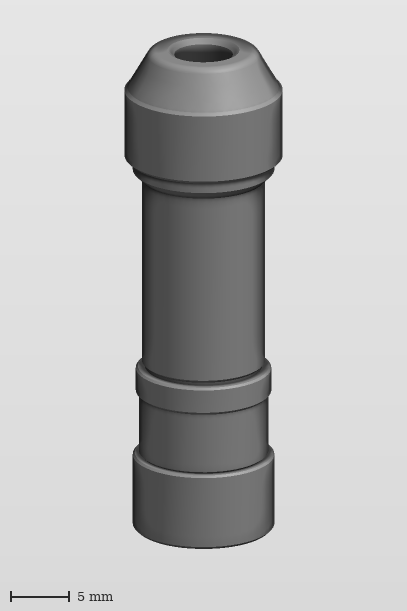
import cadquery as cq
import math

total_height = 43.0
cone_foot_z = 39.7
head_bottom_z = 33.3
ring_bottom_z = 32.25
shank_bottom_z = 14.75
collar_top_z = 14.5
collar_bottom_z = 12.05
base_height = 6.65

head_diameter = 13.45
head_radius = head_diameter / 2
ring_radius = 6.0
shank_radius = 5.25
relief_radius = 5.0
collar_radius = 5.75
neck_radius = 5.5
base_radius = 6.0

nose_flat_radius = 4.1
nose_slope_angle = 60
nose_slope = math.radians(nose_slope_angle)
nose_round_radius = 0.8

bore_radius = 2.5
mouth_radius = 3.05
mouth_depth = 0.4

edge_chamfer = 0.25
small_chamfer = 0.17

round_center_z = total_height - nose_round_radius


def nose_round_point(angle):
    """Point on the nose rounding, at an angle measured from straight up."""
    return (
        nose_flat_radius + nose_round_radius * math.sin(angle),
        round_center_z + nose_round_radius * math.cos(angle),
    )


cone_start_radius, cone_start_z = nose_round_point(nose_slope)
cone_foot_radius = cone_start_radius + (cone_start_z - cone_foot_z) / math.tan(nose_slope)
head_edge_z = cone_foot_z - (head_radius - cone_foot_radius)
shank_top_z = ring_bottom_z - (ring_radius - shank_radius)


def make_stem():
    """Revolved stem: nose and head, ring, shank, relief groove, collar and neck, bored through."""
    profile = (
        cq.Workplane("XZ")
        .moveTo(bore_radius, base_height)
        .lineTo(bore_radius, total_height - mouth_depth)
        .lineTo(mouth_radius, total_height)
        .lineTo(nose_flat_radius, total_height)
        .threePointArc(nose_round_point(nose_slope / 2), nose_round_point(nose_slope))
        .lineTo(cone_foot_radius, cone_foot_z)
        .lineTo(head_radius, head_edge_z)
        .lineTo(head_radius, head_bottom_z + edge_chamfer)
        .lineTo(head_radius - edge_chamfer, head_bottom_z)
        .lineTo(ring_radius, head_bottom_z)
        .lineTo(ring_radius, ring_bottom_z)
        .lineTo(shank_radius, shank_top_z)
        .lineTo(shank_radius, shank_bottom_z + edge_chamfer)
        .lineTo(relief_radius, shank_bottom_z)
        .lineTo(relief_radius, collar_top_z)
        .lineTo(collar_radius - small_chamfer, collar_top_z)
        .lineTo(collar_radius, collar_top_z - small_chamfer)
        .lineTo(collar_radius, collar_bottom_z + edge_chamfer)
        .lineTo(neck_radius, collar_bottom_z)
        .lineTo(neck_radius, base_height + small_chamfer)
        .lineTo(neck_radius - small_chamfer, base_height)
        .close()
    )
    return profile.revolve(360, (0, 0, 0), (0, 1, 0))


def make_base():
    """Solid cylindrical base that closes the bottom of the bore."""
    return (
        cq.Workplane("XY")
        .circle(base_radius)
        .extrude(base_height)
        .faces(">Z").edges().chamfer(small_chamfer)
        .faces("<Z").edges().chamfer(edge_chamfer)
    )


stem = make_stem()
base = make_base()

result = cq.Compound.makeCompound([stem.val(), base.val()])